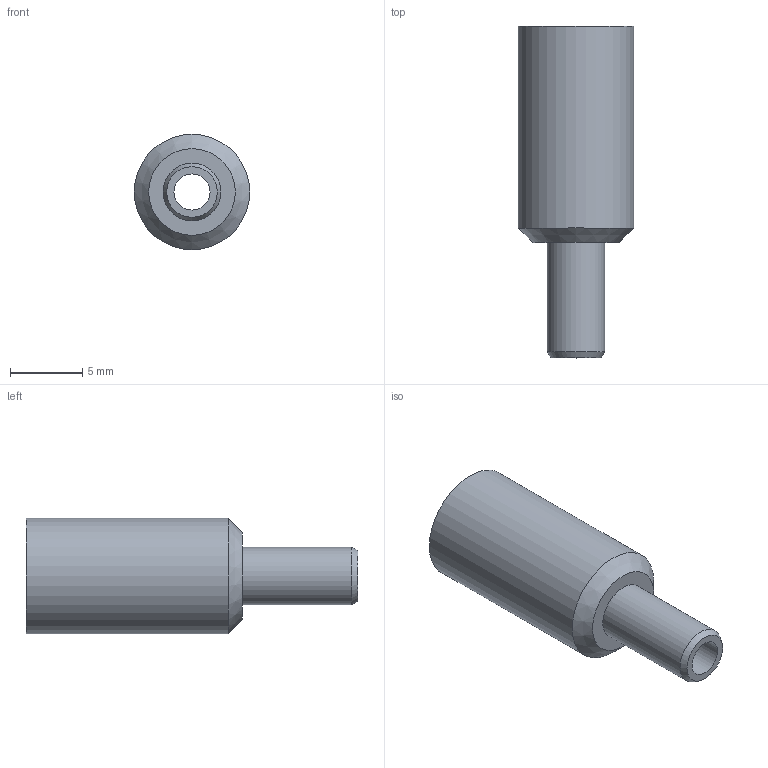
import cadquery as cq
import math

body_diameter = 8.0
body_length = 15.0
body_chamfer = 1.0
pin_diameter = 4.0
pin_length = 8.0
pin_chamfer_depth = 0.25
pin_chamfer_angle = 30.0
bore_diameter = 2.5

body_radius = body_diameter / 2
pin_radius = pin_diameter / 2
bore_radius = bore_diameter / 2
total_length = pin_length + body_length
pin_chamfer_length = pin_chamfer_depth / math.tan(math.radians(pin_chamfer_angle))


def make_sleeve():
    """Revolve the half section (position along Y, radius) about the Y axis."""
    half_section = [
        (0, bore_radius),
        (0, pin_radius - pin_chamfer_depth),
        (pin_chamfer_length, pin_radius),
        (pin_length, pin_radius),
        (pin_length, body_radius - body_chamfer),
        (pin_length + body_chamfer, body_radius),
        (total_length, body_radius),
        (total_length, bore_radius),
    ]
    axis_start = (0, 0)
    axis_end = (1, 0)
    return cq.Workplane("YZ").polyline(half_section).close().revolve(360, axis_start, axis_end)


result = make_sleeve()